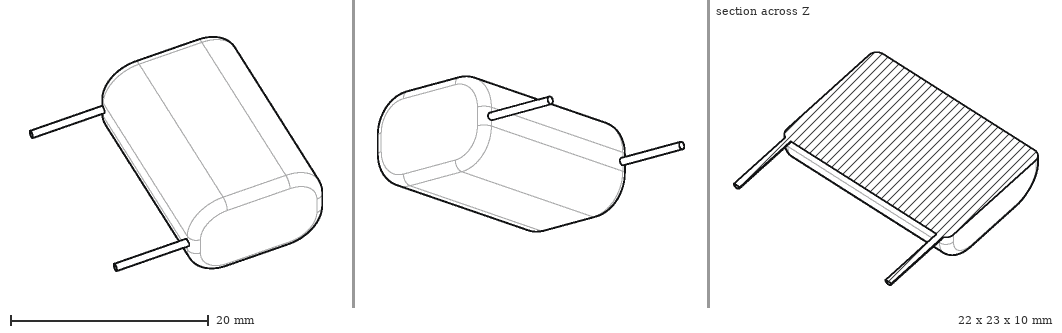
import cadquery as cq

body_length = 22.0
body_depth = 15.0
body_height = 10.0
corner_radius = 4.0
end_fillet = 1.0

lead_pitch = 20.0
lead_diameter = 0.8
lead_length = 8.0


def make_body():
    """Block with rounded long edges and softened end faces, centred on the origin."""
    block = cq.Workplane("XY").box(body_length, body_depth, body_height)
    rounded = block.edges("|X").fillet(corner_radius)
    return rounded.faces("<X or >X").edges().fillet(end_fillet)


def make_lead(x):
    """Round wire from the middle of the body out past its -Y face."""
    reach = body_depth / 2 + lead_length
    return cq.Workplane("XZ").center(x, 0).circle(lead_diameter / 2).extrude(reach)


result = make_body()
for side in (-1, 1):
    result = result.union(make_lead(side * lead_pitch / 2))